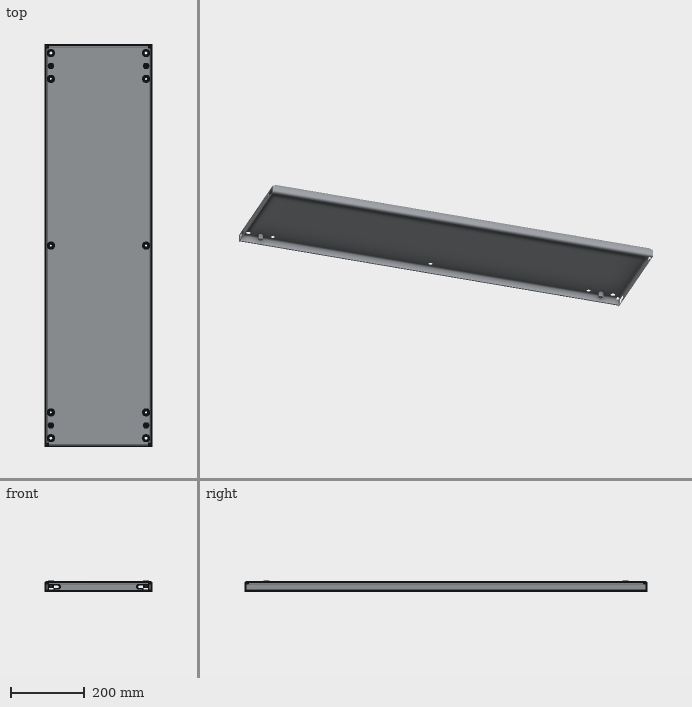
import cadquery as cq

length = 1088.0
width = 288.0
panel_height = 25.0
sheet = 1.0
outer_bend_radius = 5.0
inner_bend_radius = outer_bend_radius - sheet
lip_width = 8.0

relief_size = 7.0
relief_depth = outer_bend_radius

row_x = width / 2 - 15.0
end_hole_y = length / 2 - 22.0
stud_y = length / 2 - 57.0
side_hole_y = length / 2 - 92.0
end_hole_diameter = 12.5
side_hole_diameter = 10.5
recess_diameter = 17.5
recess_depth = 0.3

opening_start = 8.0
window_end = 24.0
window_bottom = 2.3
slot_end = 39.5
slot_height = 10.0
slot_z = 11.5
opening_top = slot_z + slot_height / 2

HEXAGON = 6
stud_head_diameter = 12.0
stud_head_height = 1.6
stud_neck_diameter = 10.0
stud_body_across_corners = 14.0
stud_body_height = 14.0
socket_across_corners = 5.0
socket_depth = 1.2


def rounded_block(inset, radius):
    """Panel envelope moved inwards by `inset`, with bends of `radius`."""
    half_length = length / 2 - inset
    cross_section = (
        cq.Workplane("XY")
        .box(width - 2 * inset, 2 * half_length, panel_height - 2 * inset)
        .edges("|Y")
        .fillet(radius)
    )
    end_profile = (
        cq.Workplane("XY")
        .box(width, 2 * half_length, panel_height - 2 * inset)
        .edges("|X and >Z")
        .fillet(radius)
    )
    return cross_section.intersect(end_profile).translate((0, 0, panel_height / 2))


def end_flange(side):
    """Flat, square-cornered end plate below the bend."""
    return (
        cq.Workplane("XY")
        .box(width, sheet, panel_height - relief_depth, centered=(True, True, False))
        .translate((0, side * (length - sheet) / 2, 0))
    )


def four_corners(x, y):
    return [(i * x, j * y) for i in (-1, 1) for j in (-1, 1)]


def corner_reliefs():
    return (
        cq.Workplane("XY", origin=(0, 0, panel_height - relief_depth))
        .pushPoints(four_corners(width / 2, length / 2))
        .rect(2 * relief_size, 2 * relief_size)
        .extrude(relief_depth)
    )


def top_cut(points, diameter, depth):
    return (
        cq.Workplane("XY", origin=(0, 0, panel_height))
        .pushPoints(points)
        .circle(diameter / 2)
        .extrude(-depth)
    )


def end_opening(side):
    """Cutter for the openings at one long side, running through both end flanges."""
    slot_x = side * (width / 2 - (opening_start + slot_end) / 2)
    window_x = side * (width / 2 - (opening_start + window_end) / 2)
    slot = (
        cq.Workplane("XZ")
        .center(slot_x, slot_z)
        .slot2D(slot_end - opening_start, slot_height)
        .extrude(length, both=True)
    )
    window = (
        cq.Workplane("XZ")
        .center(window_x, (opening_top + window_bottom) / 2)
        .rect(window_end - opening_start, opening_top - window_bottom)
        .extrude(length, both=True)
    )
    return slot.union(window)


def make_panel():
    body = rounded_block(0, outer_bend_radius).cut(rounded_block(sheet, inner_bend_radius))
    underside = cq.Workplane("XY").rect(width - 2 * lip_width, length - 2 * sheet).extrude(sheet)
    body = body.cut(underside)
    for side in (-1, 1):
        body = body.union(end_flange(side))
    body = body.cut(corner_reliefs())

    end_holes = four_corners(row_x, end_hole_y)
    side_holes = four_corners(row_x, side_hole_y) + [(-row_x, 0), (row_x, 0)]
    body = body.cut(top_cut(end_holes + side_holes, recess_diameter, recess_depth))
    body = body.cut(top_cut(end_holes, end_hole_diameter, sheet))
    body = body.cut(top_cut(side_holes, side_hole_diameter, sheet))
    body = body.cut(top_cut(four_corners(row_x, stud_y), stud_neck_diameter, sheet))

    for side in (-1, 1):
        body = body.cut(end_opening(side))
    return body


def make_stud(x, y):
    """Round head on the panel, neck through the sheet, hexagonal body below."""
    top = cq.Workplane("XY", origin=(x, y, panel_height))
    head = top.circle(stud_head_diameter / 2).extrude(stud_head_height)
    neck = top.circle(stud_neck_diameter / 2).extrude(-sheet)
    body = (
        top.workplane(offset=-sheet)
        .polygon(HEXAGON, stud_body_across_corners)
        .extrude(-stud_body_height)
    )
    socket = (
        top.workplane(offset=stud_head_height)
        .polygon(HEXAGON, socket_across_corners)
        .extrude(-socket_depth)
    )
    return head.union(neck).union(body).cut(socket)


panel = make_panel()
studs = [make_stud(x, y).val() for x, y in four_corners(row_x, stud_y)]

result = cq.Compound.makeCompound([panel.val(), *studs])